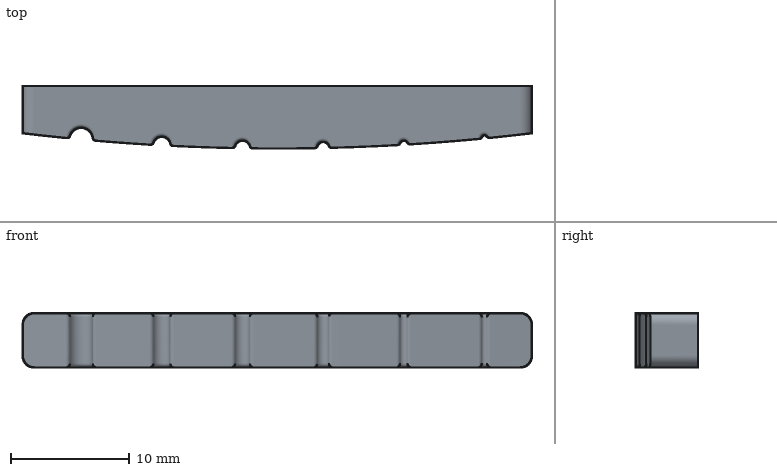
import cadquery as cq

length = 43.0
depth = 5.3
height = 4.6
end_depth = 4.0
corner_radius = 1.0

flare_height = 1.8
end_flare = 0.02

string_span = 34.05
string_shift = 0.47
groove_radii = [1.0, 0.75, 0.65, 0.5, 0.35, 0.25]
edge_break = 0.3

half_length = length / 2
crown_rise = depth - end_depth
crown_radius = (half_length**2 + crown_rise**2) / (2 * crown_rise)


def crown_y(x):
    """Y of the crowned front face, measured with the back face at Y = 0."""
    return -depth + crown_radius - (crown_radius**2 - x**2) ** 0.5


def crowned_block():
    """Crowned bar with its four lengthwise end corners rounded."""
    end_slope = end_flare / flare_height
    foot_x = -half_length - corner_radius * end_slope
    plan = (
        cq.Workplane("XY")
        .moveTo(foot_x, 0)
        .lineTo(foot_x, crown_y(foot_x))
        .threePointArc((0, -depth), (half_length, -end_depth))
        .lineTo(half_length, 0)
        .close()
        .extrude(height)
    )
    upper_end_x = foot_x + end_flare
    elevation = (
        cq.Workplane("XZ")
        .moveTo(foot_x, 0)
        .lineTo(half_length, 0)
        .lineTo(half_length, height)
        .lineTo(upper_end_x, height)
        .lineTo(upper_end_x, flare_height)
        .close()
        .extrude(depth)
    )
    block = plan.intersect(elevation)
    return block.edges("|Y").edges("<Z or >Z").fillet(corner_radius)


def groove_cutter(x, radius):
    """Round groove centred on the crown."""
    return cq.Workplane("XY").center(x, crown_y(x)).circle(radius).extrude(height)


def groove_edges(body, x, radius):
    """Edges around one groove: its two lips and its arcs on the top and bottom."""
    margin = 0.05
    reach = radius + margin
    box = cq.selectors.BoxSelector(
        (x - reach, crown_y(x) - reach, -margin),
        (x + reach, crown_y(x) + reach, height + margin),
        boundingbox=True,
    )
    return body.edges(box)


result = crowned_block()
string_pitch = string_span / (len(groove_radii) - 1)
for index, radius in enumerate(groove_radii):
    groove_x = string_shift - string_span / 2 + index * string_pitch
    result = result.cut(groove_cutter(groove_x, radius))
    result = groove_edges(result, groove_x, radius).fillet(edge_break)